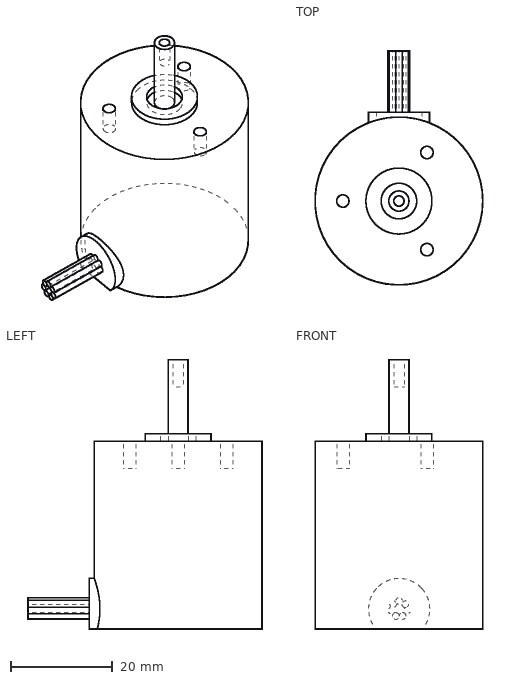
import cadquery as cq

body_diameter = 33.0
body_height = 37.0
boss_diameter = 13.0
boss_height = 1.5
recess_diameter = 7.0
recess_depth = boss_height
shaft_diameter = 4.0
shaft_top = 53.0
shaft_bore_diameter = 2.0
shaft_bore_depth = 5.3

hole_count = 3
hole_diameter = 2.45
hole_circle_radius = 11.0
hole_depth = 5.3
first_hole_angle = 180.0

outlet_diameter = 12.05
outlet_height = 4.05
outlet_face_y = 17.5
wire_count = 7
wire_diameter = 1.3
bundle_diameter = 4.4
wire_length = 12.05
wire_embedding = 1.05
wire_circle_radius = (bundle_diameter - wire_diameter) / 2


def upright_cylinder(diameter, bottom, height):
    """Cylinder on the Z axis."""
    return cq.Workplane("XY").workplane(offset=bottom).circle(diameter / 2).extrude(height)


def outlet_plane(y):
    """Workplane facing +Y at the outlet axis; its local Y axis points along +Z."""
    return cq.Workplane(cq.Plane((0, y, outlet_height), (-1, 0, 0), (0, 1, 0)))


def make_motor():
    """Body with a recessed boss and a bored shaft."""
    boss_top = body_height + boss_height
    recess_floor = boss_top - recess_depth
    body = upright_cylinder(body_diameter, 0, body_height)
    boss = upright_cylinder(boss_diameter, body_height, boss_height)
    recess = upright_cylinder(recess_diameter, recess_floor, recess_depth)
    shaft = upright_cylinder(shaft_diameter, recess_floor, shaft_top - recess_floor)
    bore = upright_cylinder(shaft_bore_diameter, shaft_top - shaft_bore_depth, shaft_bore_depth)
    return body.union(boss).cut(recess).union(shaft).cut(bore)


def make_mounting_holes():
    return (
        cq.Workplane("XY")
        .workplane(offset=body_height - hole_depth)
        .polarArray(hole_circle_radius, first_hole_angle, 360, hole_count)
        .circle(hole_diameter / 2)
        .extrude(hole_depth)
    )


def make_outlet():
    """Round cable outlet, cut off flush with the bottom of the body."""
    disc = outlet_plane(0).circle(outlet_diameter / 2).extrude(outlet_face_y)
    above_bottom = upright_cylinder(2 * body_diameter, 0, body_height)
    return disc.intersect(above_bottom)


def make_wires():
    """Ring of wires with one wire at the top, rooted inside the outlet."""
    return (
        outlet_plane(outlet_face_y - wire_embedding)
        .polarArray(wire_circle_radius, 90, 360, wire_count)
        .circle(wire_diameter / 2)
        .extrude(wire_embedding + wire_length)
    )


result = make_motor().cut(make_mounting_holes()).union(make_outlet()).union(make_wires())